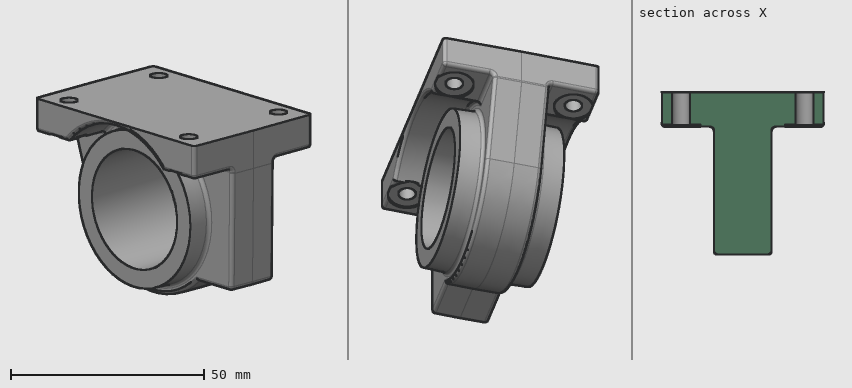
import cadquery as cq
import math

plate_length = 59.98
plate_width = 42.0
plate_top = 25.0
plate_thickness = 9.0
side_draft = 0.5

web_thickness = 15.0
web_radius = 24.0
web_foot = -17.1
web_shoulder = 14.75
shoulder_radius = 1.4
foot_corner_radius = 1.2
foot_draft = 0.7

bore_radius = 16.0
barrel_length = 28.0
barrel_end_radius = 21.0
barrel_draft = 2.0
clearance_radius = 23.99

hole_diameter = 4.5
hole_spacing_x = 45.0
hole_spacing_y = 32.0
seat_diameter = 10.0
seat_depth = 0.5

edge_radius = 1.0
tolerance = 0.02

plate_bottom = plate_top - plate_thickness
half_length = plate_length / 2
half_width = plate_width / 2
half_web = web_thickness / 2
half_barrel = barrel_length / 2
barrel_root_radius = barrel_end_radius + (half_barrel - half_web) * math.tan(math.radians(barrel_draft))


def pick_edges(part, condition):
    """Select the edges of a part whose centre satisfies the condition."""
    return part.newObject([edge for edge in part.edges().vals() if condition(edge.Center())])


def make_plate():
    """Plate with tapered ends, rounded corners and a hollow on each side of the web."""
    end_length = half_length - half_width * math.tan(math.radians(side_draft))
    plate = (
        cq.Workplane("XY", origin=(0, 0, plate_bottom))
        .moveTo(half_length, 0)
        .lineTo(end_length, half_width)
        .lineTo(-end_length, half_width)
        .lineTo(-half_length, 0)
        .lineTo(-end_length, -half_width)
        .lineTo(end_length, -half_width)
        .close()
        .extrude(plate_thickness)
        .edges("|Z")
        .edges(">Y or <Y")
        .fillet(edge_radius)
    )
    hollow = cq.Workplane("XZ", origin=(0, -half_web, 0)).circle(clearance_radius).extrude(half_width)
    return plate.cut(hollow).cut(hollow.mirror("XZ"))


def extrude_both_ways(outline):
    """Extrude an outline from the middle plane to both web faces, with a drafted rim."""
    front_half = outline.extrude(half_web, taper=side_draft)
    return front_half.union(front_half.mirror("XZ"))


def make_round_body():
    """Web body: down the plate end, along a slope tangent to the round, then up to the plate."""
    shoulder_distance = math.hypot(half_length, web_shoulder)
    shoulder_angle = math.atan2(web_shoulder, -half_length)
    tangent_angle = shoulder_angle + math.acos(web_radius / shoulder_distance)
    tangent_x = web_radius * math.cos(tangent_angle)
    tangent_z = web_radius * math.sin(tangent_angle)
    slope = math.atan2(tangent_x + half_length, web_shoulder - tangent_z)
    setback = shoulder_radius * math.tan(slope / 2)
    blend_x = -half_length + setback * math.sin(slope)
    blend_z = web_shoulder - setback * math.cos(slope)
    outline = (
        cq.Workplane("XZ")
        .moveTo(-half_length, plate_top)
        .lineTo(-half_length, web_shoulder + setback)
        .tangentArcPoint((blend_x, blend_z), relative=False)
        .lineTo(tangent_x, tangent_z)
        .threePointArc((0, -web_radius), (web_radius, 0))
        .lineTo(web_radius, plate_top)
        .close()
    )
    return extrude_both_ways(outline)


def make_foot():
    """Square foot filling the +X side of the web, with a rounded lower corner."""
    lean = math.radians(foot_draft)
    foot_end = half_length - (web_shoulder - web_foot) * math.tan(lean)
    setback = foot_corner_radius * math.tan((math.pi / 2 - lean) / 2)
    corner_x = foot_end + setback * math.sin(lean)
    corner_z = web_foot + setback * math.cos(lean)
    outline = (
        cq.Workplane("XZ")
        .moveTo(0, plate_top)
        .lineTo(0, web_foot)
        .lineTo(foot_end - setback, web_foot)
        .tangentArcPoint((corner_x, corner_z), relative=False)
        .lineTo(half_length, web_shoulder)
        .lineTo(half_length, plate_top)
        .close()
    )
    return extrude_both_ways(outline)


def round_body_edges(body):
    """Round the inner corners of plate and web, then the web rim and the underside of the plate."""

    def on_web_face(center):
        return abs(abs(center.y) - half_web) < tolerance

    def in_inner_corner(center):
        return on_web_face(center) and plate_bottom - tolerance < center.z < plate_top - edge_radius / 2

    def on_outer_edge(center):
        on_rim = on_web_face(center) and center.z < plate_bottom - edge_radius - tolerance
        on_plate_side = abs(abs(center.y) - half_width) < tolerance
        not_upright = center.z < plate_top - tolerance and abs(center.x) < half_length - 2 * edge_radius
        return on_rim or (on_plate_side and not_upright)

    body = pick_edges(body, in_inner_corner).fillet(edge_radius)
    return pick_edges(body, on_outer_edge).fillet(edge_radius)


def add_barrel(body):
    """Add a drafted barrel stub on each side, rounded into the web, and bore through."""
    stub = (
        cq.Workplane("XY")
        .moveTo(0, 0)
        .lineTo(barrel_root_radius, 0)
        .lineTo(barrel_root_radius, half_web)
        .lineTo(barrel_end_radius, half_barrel)
        .lineTo(0, half_barrel)
        .close()
        .revolve(360, (0, 0, 0), (0, 1, 0))
    )
    body = body.union(stub).union(stub.mirror("XZ"))

    def at_barrel_root(center):
        return abs(abs(center.y) - half_web) < tolerance and math.hypot(center.x, center.z) < edge_radius

    body = pick_edges(body, at_barrel_root).fillet(edge_radius)
    bore = cq.Workplane("XZ", origin=(0, half_barrel, 0)).circle(bore_radius).extrude(barrel_length)
    return body.cut(bore)


def add_holes(body):
    """Four through holes, each with a shallow seat under the plate."""
    centers = [
        (side_x * hole_spacing_x / 2, side_y * hole_spacing_y / 2)
        for side_x in (-1, 1)
        for side_y in (-1, 1)
    ]
    holes = cq.Workplane("XY", origin=(0, 0, plate_bottom)).pushPoints(centers)
    body = body.cut(holes.circle(hole_diameter / 2).extrude(plate_thickness))
    seats = cq.Workplane("XY", origin=(0, 0, plate_bottom)).pushPoints(centers)
    return body.cut(seats.circle(seat_diameter / 2).extrude(seat_depth))


body = make_plate().union(make_round_body()).union(make_foot())
body = round_body_edges(body)
body = add_barrel(body)
result = add_holes(body)